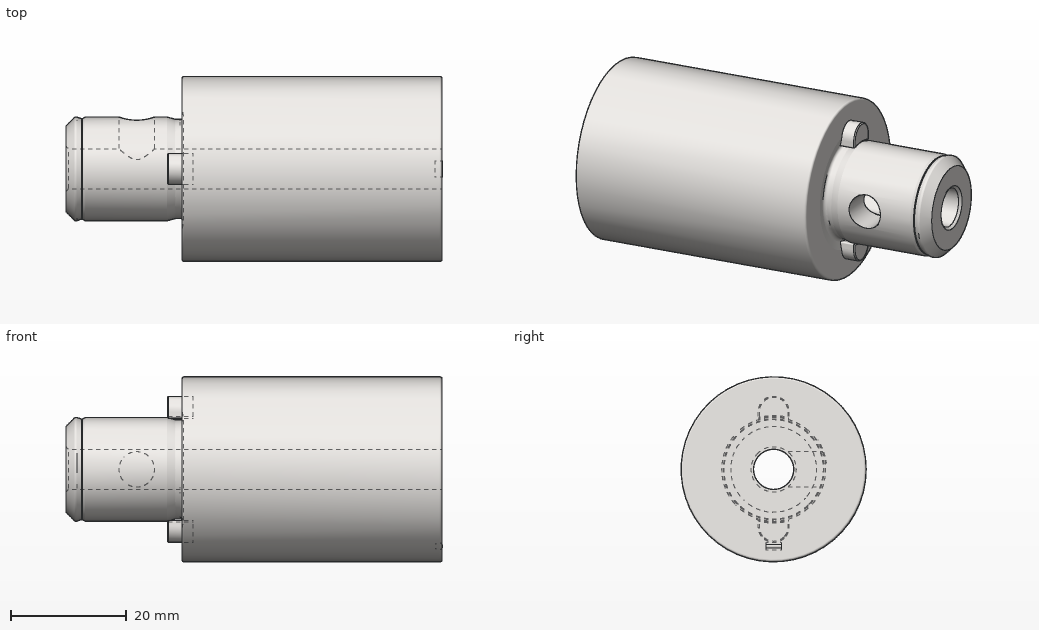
import cadquery as cq
import math

LENGTH = 65.0
HOUSING_LENGTH = 64.95
TIP_X = -LENGTH / 2
BARREL_RADIUS = 16.0
BARREL_ROUND = 0.4
SPIGOT_LENGTH = 20.0
SPIGOT_RADIUS = 9.0
TIP_CHAMFER = 1.55
FACE_X = TIP_X + SPIGOT_LENGTH
END_X = TIP_X + HOUSING_LENGTH

GROOVE_START = 1.9
GROOVE_FLOOR_START = 2.65
GROOVE_FLOOR_END = 2.85
GROOVE_END = 3.3
GROOVE_DEPTH = 0.25
TIP_EDGE_ROUND = 0.25

UNDERCUT_RADIUS = 8.6
UNDERCUT_RAMP_START = 17.5
UNDERCUT_FLOOR_START = 18.9
UNDERCUT_FILLET = 0.6
RECESS_RADIUS = 10.65
RECESS_DEPTH = 0.25

BORE_RADIUS = 3.45
BORE_CHAMFER = 0.45

CROSS_HOLE_RADIUS = 3.05
CROSS_HOLE_FROM_TIP = 12.2

KEY_HALF_WIDTH = 2.65
KEY_TOP = 12.6
KEY_INNER_RADIUS = 9.1
KEY_CORNER_ROUND = 0.25
KEY_CHAMFER = 0.2
KEY_FRONT_X = FACE_X - 2.55
KEY_SEAT_DEPTH = 1.95
KEY_ANGLES = (0, 180)

PIN_RADIUS = 0.65
PIN_LENGTH = 2.7
PIN_Z = -13.25


def round_spigot_edge(body, from_tip, radius):
    """Round the circular spigot edge that lies at a distance from the tip."""
    edge_x = TIP_X + from_tip
    margin = 0.005
    edge_finder = cq.selectors.BoxSelector(
        (edge_x - margin, -BARREL_RADIUS, -BARREL_RADIUS),
        (edge_x + margin, BARREL_RADIUS, BARREL_RADIUS),
    )
    return body.edges("%CIRCLE").edges(edge_finder).fillet(radius)


def make_turned_blank():
    """Barrel and spigot as one turned shape, without holes or key seats."""
    fillet_centre_x = FACE_X + RECESS_DEPTH - UNDERCUT_FILLET
    fillet_centre_radius = UNDERCUT_RADIUS + UNDERCUT_FILLET
    fillet_mid = UNDERCUT_FILLET * math.sqrt(0.5)
    groove_radius = SPIGOT_RADIUS - GROOVE_DEPTH
    profile = (
        cq.Workplane("XY")
        .moveTo(TIP_X, 0)
        .lineTo(TIP_X, SPIGOT_RADIUS - TIP_CHAMFER)
        .lineTo(TIP_X + TIP_CHAMFER, SPIGOT_RADIUS)
        .lineTo(TIP_X + GROOVE_START, SPIGOT_RADIUS)
        .lineTo(TIP_X + GROOVE_FLOOR_START, groove_radius)
        .lineTo(TIP_X + GROOVE_FLOOR_END, groove_radius)
        .lineTo(TIP_X + GROOVE_END, SPIGOT_RADIUS)
        .lineTo(TIP_X + UNDERCUT_RAMP_START, SPIGOT_RADIUS)
        .lineTo(TIP_X + UNDERCUT_FLOOR_START, UNDERCUT_RADIUS)
        .lineTo(fillet_centre_x, UNDERCUT_RADIUS)
        .threePointArc(
            (fillet_centre_x + fillet_mid, fillet_centre_radius - fillet_mid),
            (fillet_centre_x + UNDERCUT_FILLET, fillet_centre_radius),
        )
        .lineTo(FACE_X, RECESS_RADIUS)
        .lineTo(FACE_X, BARREL_RADIUS)
        .lineTo(END_X, BARREL_RADIUS)
        .lineTo(END_X, 0)
        .close()
    )
    blank = profile.revolve(360, (0, 0, 0), (1, 0, 0))
    barrel_rims = cq.selectors.RadiusNthSelector(-1)
    blank = blank.edges("%CIRCLE").edges(barrel_rims).fillet(BARREL_ROUND)
    blank = round_spigot_edge(blank, TIP_CHAMFER, TIP_EDGE_ROUND)
    blank = round_spigot_edge(blank, GROOVE_END, TIP_EDGE_ROUND)
    return round_spigot_edge(blank, UNDERCUT_FLOOR_START, UNDERCUT_FILLET)


def make_bore():
    """Axial bore with its countersunk mouth at the spigot tip."""
    return (
        cq.Workplane("XY")
        .moveTo(TIP_X, 0)
        .lineTo(TIP_X, BORE_RADIUS + BORE_CHAMFER)
        .lineTo(TIP_X + BORE_CHAMFER, BORE_RADIUS)
        .lineTo(END_X, BORE_RADIUS)
        .lineTo(END_X, 0)
        .close()
        .revolve(360, (0, 0, 0), (1, 0, 0))
    )


def make_cross_hole():
    """Radial hole from the axis out through the +Y side of the spigot."""
    hole = cq.Workplane("XZ").circle(CROSS_HOLE_RADIUS).extrude(-BARREL_RADIUS)
    return hole.translate((TIP_X + CROSS_HOLE_FROM_TIP, 0, 0))


def make_key(angle):
    """Round-topped drive key with a hollow underside, turned about X."""
    arc_centre = KEY_TOP - KEY_HALF_WIDTH
    corner_height = math.sqrt(KEY_INNER_RADIUS**2 - KEY_HALF_WIDTH**2)
    key_length = FACE_X + KEY_SEAT_DEPTH - KEY_FRONT_X
    key = (
        cq.Workplane("YZ", origin=(KEY_FRONT_X, 0, 0))
        .moveTo(-KEY_HALF_WIDTH, corner_height)
        .lineTo(-KEY_HALF_WIDTH, arc_centre)
        .threePointArc((0, KEY_TOP), (KEY_HALF_WIDTH, arc_centre))
        .lineTo(KEY_HALF_WIDTH, corner_height)
        .threePointArc((0, KEY_INNER_RADIUS), (-KEY_HALF_WIDTH, corner_height))
        .close()
        .extrude(key_length)
    )
    lower_corners = cq.selectors.BoxSelector(
        (KEY_FRONT_X, -BARREL_RADIUS, 0),
        (END_X, BARREL_RADIUS, KEY_INNER_RADIUS),
    )
    key = key.edges("|X").edges(lower_corners).fillet(KEY_CORNER_ROUND)
    key = key.faces("<X").edges().chamfer(KEY_CHAMFER)
    return key.rotate((0, 0, 0), (1, 0, 0), angle)


def make_end_pin():
    """Straight pin parallel to Y whose side reaches the full overall length."""
    pin = cq.Workplane("XZ").circle(PIN_RADIUS).extrude(PIN_LENGTH / 2, both=True)
    return pin.translate((TIP_X + LENGTH - PIN_RADIUS, 0, PIN_Z))


keys = [make_key(angle) for angle in KEY_ANGLES]
end_pin = make_end_pin()

housing = make_turned_blank().cut(make_bore()).cut(make_cross_hole())
for insert in [*keys, end_pin]:
    housing = housing.cut(insert)

result = cq.Compound.makeCompound([housing.val(), *[key.val() for key in keys], end_pin.val()])